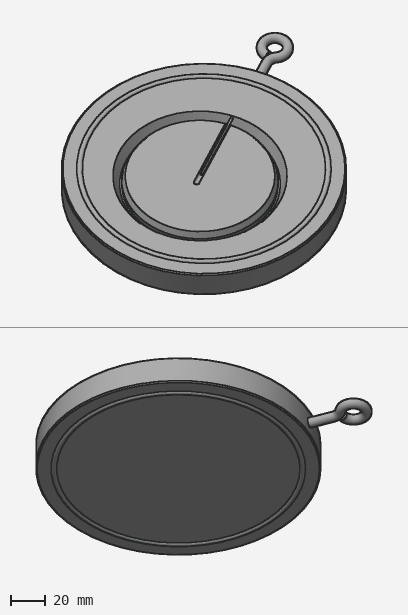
import cadquery as cq
import math

body_diameter = 164.0
body_thickness = 17.8
body_chamfer = 0.8
body_top = body_thickness / 2
body_radius = body_diameter / 2

seal_outer_diameter = 146.8
seal_section_diameter = 3.6
overall_thickness = 19.8
seal_section_radius = seal_section_diameter / 2
seal_path_radius = seal_outer_diameter / 2 - seal_section_radius

pocket_y = -6.0
pocket_top_diameter = 100.2
pocket_floor_diameter = 92.5
pocket_depth = 7.0
pocket_floor = body_top - pocket_depth

flap_diameter = 90.0
flap_chamfer_width = 2.0
flap_chamfer_height = 4.0

rod_diameter = 1.6
groove_diameter = 3.2
groove_overlap = 0.2
groove_end_y = -12.7
groove_tip_chamfer = 0.8
rod_end_y = -3.8
rod_radius = rod_diameter / 2
groove_radius = groove_diameter / 2
rod_z = body_top - groove_radius + rod_radius - groove_overlap

overall_length = 202.0
wire_diameter = 6.0
eye_outer_diameter = 21.2
bend_radius = 7.0
eye_tail_angle = 260
stem_embedding = 4.0
wire_radius = wire_diameter / 2
eye_path_radius = eye_outer_diameter / 2 - wire_radius
eye_y = overall_length - body_radius - eye_outer_diameter / 2


def make_body():
    return (
        cq.Workplane("XY", origin=(0, 0, -body_top))
        .circle(body_radius)
        .extrude(body_thickness)
        .edges("%CIRCLE")
        .chamfer(body_chamfer)
    )


def make_seal(side):
    """Ring of round section; side is 1 for the top face and -1 for the bottom."""
    section_z = side * (overall_thickness / 2 - seal_section_radius)
    return (
        cq.Workplane("XZ")
        .center(seal_path_radius, section_z)
        .circle(seal_section_radius)
        .revolve(360, (-seal_path_radius, 0), (-seal_path_radius, 1))
    )


def make_pocket():
    """Tapered opening that narrows from the top face down to its floor."""
    return (
        cq.Workplane("XY", origin=(0, pocket_y, pocket_floor))
        .circle(pocket_floor_diameter / 2)
        .workplane(offset=pocket_depth)
        .circle(pocket_top_diameter / 2)
        .loft(ruled=True)
    )


def make_rod_along_y(radius, start_y, end_y, z):
    return (
        cq.Workplane("XZ", origin=(0, start_y, z))
        .circle(radius)
        .extrude(start_y - end_y)
    )


def make_flap():
    flap = (
        cq.Workplane("XY", origin=(0, pocket_y, pocket_floor))
        .circle(flap_diameter / 2)
        .extrude(pocket_depth)
        .faces(">Z")
        .chamfer(flap_chamfer_height, flap_chamfer_width)
    )
    groove_start_y = pocket_y + flap_diameter / 2
    groove = make_rod_along_y(groove_radius, groove_start_y, groove_end_y, body_top)
    return flap.cut(groove.faces("<Y").chamfer(groove_tip_chamfer))


def make_spring_rod():
    pocket_edge_y = pocket_y + pocket_top_diameter / 2
    return make_rod_along_y(rod_radius, pocket_edge_y, rod_end_y, rod_z)


def make_lifting_eye():
    join_angle = math.acos(bend_radius / (eye_path_radius + bend_radius))
    stem_end_y = eye_y - (eye_path_radius + bend_radius) * math.sin(join_angle)

    half_turn = join_angle / 2
    bend_middle = (
        bend_radius * (1 - math.cos(half_turn)),
        stem_end_y + bend_radius * math.sin(half_turn),
    )
    bend_end = (
        eye_path_radius * math.cos(join_angle),
        eye_y - eye_path_radius * math.sin(join_angle),
    )
    bend_path = (
        cq.Workplane("XY")
        .moveTo(0, stem_end_y)
        .threePointArc(bend_middle, bend_end)
    )
    bend = (
        cq.Workplane("XZ", origin=(0, stem_end_y, 0))
        .circle(wire_radius)
        .sweep(bend_path)
    )

    eye_turn = eye_tail_angle + math.degrees(join_angle)
    eye = (
        cq.Workplane("XZ")
        .center(eye_path_radius, 0)
        .circle(wire_radius)
        .revolve(eye_turn, (-eye_path_radius, 0), (-eye_path_radius, 1))
        .rotate((0, 0, 0), (0, 0, 1), -math.degrees(join_angle))
        .translate((0, eye_y, 0))
    )
    stem = make_rod_along_y(wire_radius, stem_end_y, body_radius - stem_embedding, 0)
    return stem.union(bend).union(eye)


result = (
    make_body()
    .union(make_seal(1))
    .union(make_seal(-1))
    .cut(make_pocket())
    .union(make_flap())
    .union(make_spring_rod())
    .union(make_lifting_eye())
)